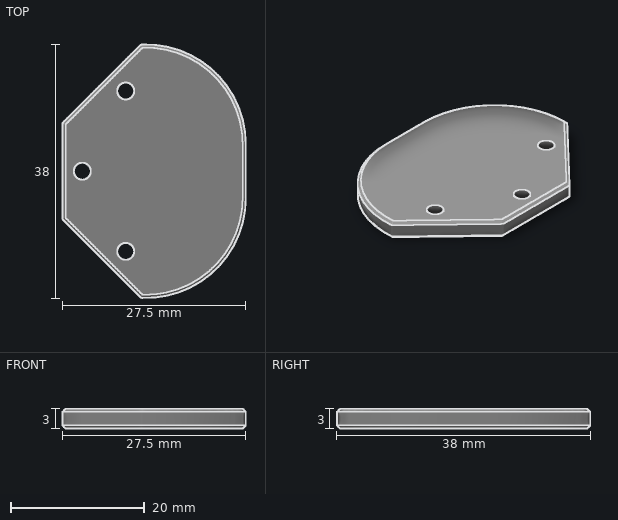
import cadquery as cq
import math

length = 37.98
width = 27.5
thickness = 3.0
edge_chamfer = 0.5

flat_length = 7.98
corner_cut = 11.5
blend_margin = 0.005
corner_blend_radius = edge_chamfer + blend_margin

hole_diameter = 2.5
middle_hole_inset = 3.0
outer_hole_inset = 9.5
outer_hole_offset = 12.0

left = -width / 2
core_left = left + corner_blend_radius
core_right = width / 2 - corner_blend_radius
flat_top = flat_length / 2
core_round_radius = length / 2 - corner_blend_radius - flat_top
round_center_x = core_right - core_round_radius

cut_end_x = core_left + corner_cut
cut_end_y = flat_top + math.sqrt(core_round_radius**2 - (cut_end_x - round_center_x) ** 2)
cut_start_y = cut_end_y - corner_cut

core = (
    cq.Workplane("XY")
    .moveTo(core_left, -cut_start_y)
    .lineTo(cut_end_x, -cut_end_y)
    .radiusArc((core_right, -flat_top), -core_round_radius)
    .lineTo(core_right, flat_top)
    .radiusArc((cut_end_x, cut_end_y), -core_round_radius)
    .lineTo(core_left, cut_start_y)
    .close()
)
plate = core.offset2D(corner_blend_radius).extrude(thickness / 2, both=True)

plate = plate.faces("<Z or >Z").edges().chamfer(edge_chamfer)

hole_centers = [
    (left + middle_hole_inset, 0),
    (left + outer_hole_inset, outer_hole_offset),
    (left + outer_hole_inset, -outer_hole_offset),
]
result = (
    plate.faces(">Z")
    .workplane(origin=(0, 0, 0))
    .pushPoints(hole_centers)
    .hole(hole_diameter)
)